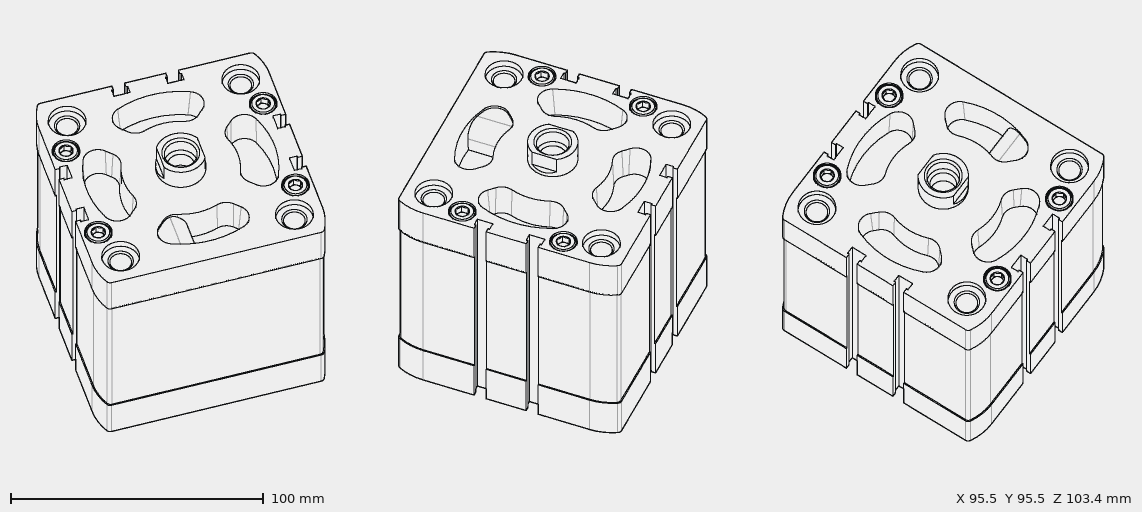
import cadquery as cq
import math

TOTAL_HEIGHT = 103.4
WIDTH = 95.5
ROD_PROJECTION = 9.5
HOUSING_HEIGHT = TOTAL_HEIGHT - ROD_PROJECTION
CAP_HEIGHT = 16.5
CAP_HALF = WIDTH / 2
TUBE_INSET = 0.5
CUT_MARGIN = 1.0

FLAT_HALF_LENGTH = 35.8
CORNER_RADIUS = 23.7
CORNER_EDGE_RADIUS = 1.9

SLOT_OFFSET = 11.2
SLOT_MOUTH_WIDTH = 5.2
SLOT_WIDTH = 6.6
SLOT_LIP = 2.0
SLOT_DEPTH = 5.2

MOUNT_OFFSET = 36.0
MOUNT_DIAMETER = 8.6
MOUNT_COUNTERSINK_DIAMETER = 10.0
MOUNT_COUNTERBORE_DIAMETER = 15.0
MOUNT_COUNTERBORE_DEPTH = 3.0

SCREW_X = 21.7
SCREW_Y = 40.8
SCREW_RECESS_DIAMETER = 11.0
SCREW_HEAD_DIAMETER = 10.0
SCREW_HEAD_TOP_DIAMETER = 9.0
SCREW_GAP_DEPTH = 1.0
SCREW_HEAD_CHAMFER = (SCREW_HEAD_DIAMETER - SCREW_HEAD_TOP_DIAMETER) / 2
SOCKET_ACROSS_FLATS = 5.0
SOCKET_ACROSS_CORNERS = SOCKET_ACROSS_FLATS / math.cos(math.pi / 6)
SOCKET_DEPTH = 3.1
SOCKET_TIP_DEPTH = 1.0

POCKET_INNER_RADIUS = 23.7
POCKET_OUTER_RADIUS = 38.9
POCKET_RIB_WIDTH = 12.8
POCKET_CORNER_RADIUS = 6.0
POCKET_DEPTH = 14.0
POCKET_DRAFT = 2.2
FILLER_TOP_DEPTH = 1.0
FILLER_EDGE_Y = -4.4
FILLER_RADIUS = 6.8

ROD_DIAMETER = 20.0
ROD_SEAT_DEPTH = CAP_HEIGHT
FLATS_ACROSS = 17.0
FLATS_HEIGHT = 6.8
FLATS_RUNOUT_SLOPE = 33.0
ROD_MOUTH_DIAMETER = 15.0
ROD_RECESS_DIAMETER = 13.0
ROD_RECESS_DEPTH = 6.4
ROD_BORE_DIAMETER = 10.7
ROD_BORE_DEPTH = 14.5
DRILL_TIP_HALF_ANGLE = 59.0


def turned(points):
    """Solid of revolution about Z from (radius, z) points."""
    return cq.Workplane("XZ").polyline(points).close().revolve(360, (0, 0), (0, 1))


def outline_prism(inset, bottom, height):
    """Four-sided prism with broad corner arcs, set back from the cap outline."""
    half = CAP_HALF - inset
    radius = CORNER_RADIUS - inset
    arc_run = half - FLAT_HALF_LENGTH
    half_run = arc_run / 2

    def arc_y(run):
        return half - radius + math.sqrt(radius**2 - run**2)

    mid_x, mid_y = FLAT_HALF_LENGTH + half_run, arc_y(half_run)
    edge_y = arc_y(arc_run)
    flat = FLAT_HALF_LENGTH
    return (
        cq.Workplane("XY", origin=(0, 0, bottom))
        .moveTo(-flat, half)
        .lineTo(flat, half)
        .threePointArc((mid_x, mid_y), (half, edge_y))
        .lineTo(half, -edge_y)
        .threePointArc((mid_x, -mid_y), (flat, -half))
        .lineTo(-flat, -half)
        .threePointArc((-mid_x, -mid_y), (-half, -edge_y))
        .lineTo(-half, edge_y)
        .threePointArc((-mid_x, mid_y), (-flat, half))
        .close()
        .extrude(height)
        .edges("|Z and (<X or >X)")
        .fillet(CORNER_EDGE_RADIUS)
    )


def t_slot_pair():
    """Cutters for the two T slots of the -Y side."""
    bottom = -CAP_HALF + SLOT_DEPTH
    lip = -CAP_HALF + SLOT_LIP
    mouth = -CAP_HALF - CUT_MARGIN

    def slot_boxes(width, outer_y):
        return (
            cq.Workplane("XY", origin=(0, (outer_y + bottom) / 2, 0))
            .pushPoints([(-SLOT_OFFSET, 0), (SLOT_OFFSET, 0)])
            .rect(width, bottom - outer_y)
            .extrude(HOUSING_HEIGHT)
        )

    return slot_boxes(SLOT_MOUTH_WIDTH, mouth).union(slot_boxes(SLOT_WIDTH, lip))


def mount_hole():
    """Through hole with a countersink inside a counterbore."""
    radius = MOUNT_DIAMETER / 2
    sink_radius = MOUNT_COUNTERSINK_DIAMETER / 2
    bore_radius = MOUNT_COUNTERBORE_DIAMETER / 2
    floor = HOUSING_HEIGHT - MOUNT_COUNTERBORE_DEPTH
    top = HOUSING_HEIGHT + CUT_MARGIN
    return turned([
        (0, -CUT_MARGIN),
        (radius, -CUT_MARGIN),
        (radius, floor - (sink_radius - radius)),
        (sink_radius, floor),
        (bore_radius, floor),
        (bore_radius, top),
        (0, top),
    ])


def screw_gap():
    """Ring-shaped gap around a chamfered screw head."""
    head_radius = SCREW_HEAD_DIAMETER / 2
    recess_radius = SCREW_RECESS_DIAMETER / 2
    floor = HOUSING_HEIGHT - SCREW_GAP_DEPTH
    return turned([
        (head_radius, floor),
        (recess_radius, floor),
        (recess_radius, HOUSING_HEIGHT),
        (SCREW_HEAD_TOP_DIAMETER / 2, HOUSING_HEIGHT),
        (head_radius, HOUSING_HEIGHT - SCREW_HEAD_CHAMFER),
    ])


def screw_socket():
    """Hexagon socket with a countersunk mouth and a conical bottom."""
    mouth_radius = SOCKET_ACROSS_CORNERS / 2
    tip_radius = SOCKET_ACROSS_FLATS / 2
    floor = HOUSING_HEIGHT - SOCKET_DEPTH
    hexagon = (
        cq.Workplane("XY", origin=(0, 0, floor))
        .polygon(6, SOCKET_ACROSS_CORNERS)
        .extrude(SOCKET_DEPTH)
    )
    countersink = turned([
        (0, HOUSING_HEIGHT),
        (mouth_radius, HOUSING_HEIGHT),
        (0, HOUSING_HEIGHT - mouth_radius),
    ])
    tip = turned([(0, floor), (tip_radius, floor), (0, floor - SOCKET_TIP_DEPTH)])
    return hexagon.union(countersink).union(tip)


def kidney_pocket():
    """Drafted cutter for the +X pocket: a ring sector between two diagonal ribs."""
    floor = HOUSING_HEIGHT - POCKET_DEPTH
    draft_run = POCKET_DEPTH * math.tan(math.radians(POCKET_DRAFT))
    ring = turned([
        (POCKET_INNER_RADIUS, HOUSING_HEIGHT),
        (POCKET_OUTER_RADIUS, HOUSING_HEIGHT),
        (POCKET_OUTER_RADIUS - draft_run, floor),
        (POCKET_INNER_RADIUS + draft_run, floor),
    ])
    tip_x = POCKET_RIB_WIDTH / math.sqrt(2)
    reach = CAP_HALF
    wedge = (
        cq.Workplane("XY", origin=(0, 0, HOUSING_HEIGHT))
        .polyline([(tip_x, 0), (tip_x + reach, -reach), (tip_x + reach, reach)])
        .close()
        .extrude(-POCKET_DEPTH, taper=POCKET_DRAFT)
    )
    sector = wedge.intersect(ring.rotate((0, 0, 0), (0, 0, 1), 180))
    return sector.edges("not (>Z or <Z)").fillet(POCKET_CORNER_RADIUS)


def pocket_filler():
    """Raised floor with a rounded edge that fills the -Y end of the +X pocket."""
    top = HOUSING_HEIGHT - FILLER_TOP_DEPTH
    bottom = HOUSING_HEIGHT - POCKET_DEPTH - CUT_MARGIN
    return (
        cq.Workplane("XY", origin=(0, 0, bottom))
        .rect(CAP_HALF, CAP_HALF, centered=False)
        .extrude(top - bottom)
        .translate((0, FILLER_EDGE_Y - CAP_HALF, 0))
        .edges(">Y and >Z")
        .fillet(FILLER_RADIUS)
    )


def make_housing():
    upper_cap_bottom = HOUSING_HEIGHT - CAP_HEIGHT
    body = outline_prism(0, 0, CAP_HEIGHT)
    body = body.union(outline_prism(TUBE_INSET, CAP_HEIGHT, upper_cap_bottom - CAP_HEIGHT))
    body = body.union(outline_prism(0, upper_cap_bottom, CAP_HEIGHT))

    for angle in (0, 180, 270):
        body = body.cut(t_slot_pair().rotate((0, 0, 0), (0, 0, 1), angle))

    for side_x in (-1, 1):
        for side_y in (-1, 1):
            body = body.cut(mount_hole().translate((side_x * MOUNT_OFFSET, side_y * MOUNT_OFFSET, 0)))
            screw_place = (side_x * SCREW_X, side_y * SCREW_Y, 0)
            body = body.cut(screw_gap().translate(screw_place))
            body = body.cut(screw_socket().translate(screw_place))

    body = body.cut(kidney_pocket().cut(pocket_filler()))
    for angle in (90, 180, 270):
        body = body.cut(kidney_pocket().rotate((0, 0, 0), (0, 0, 1), angle))

    return body.cut(rod_blank())


def rod_blank():
    seat = HOUSING_HEIGHT - ROD_SEAT_DEPTH
    return cq.Workplane("XY", origin=(0, 0, seat)).circle(ROD_DIAMETER / 2).extrude(TOTAL_HEIGHT - seat)


def wrench_flat():
    """Cutter for the +Y wrench flat, with a sloping run-out below it."""
    face = FLATS_ACROSS / 2
    outside = ROD_DIAMETER / 2 + CUT_MARGIN
    low = TOTAL_HEIGHT - FLATS_HEIGHT
    drop = (outside - face) * math.tan(math.radians(FLATS_RUNOUT_SLOPE))
    return (
        cq.Workplane("YZ")
        .polyline([(face, TOTAL_HEIGHT), (face, low), (outside, low - drop), (outside, TOTAL_HEIGHT)])
        .close()
        .extrude(ROD_DIAMETER / 2, both=True)
    )


def rod_bore():
    """Stepped blind bore with a chamfered mouth and a drill-point bottom."""
    mouth = ROD_MOUTH_DIAMETER / 2
    recess = ROD_RECESS_DIAMETER / 2
    bore = ROD_BORE_DIAMETER / 2
    recess_floor = TOTAL_HEIGHT - ROD_RECESS_DEPTH
    bore_floor = TOTAL_HEIGHT - ROD_BORE_DEPTH
    tip = bore / math.tan(math.radians(DRILL_TIP_HALF_ANGLE))
    return turned([
        (0, TOTAL_HEIGHT),
        (mouth, TOTAL_HEIGHT),
        (recess, TOTAL_HEIGHT - (mouth - recess)),
        (recess, recess_floor),
        (bore, recess_floor - (recess - bore)),
        (bore, bore_floor),
        (0, bore_floor - tip),
    ])


def make_rod():
    rod = rod_blank()
    for angle in (0, 180):
        rod = rod.cut(wrench_flat().rotate((0, 0, 0), (0, 0, 1), angle))
    return rod.cut(rod_bore())


housing = make_housing()
rod = make_rod()
result = cq.Compound.makeCompound([housing.val(), rod.val()])